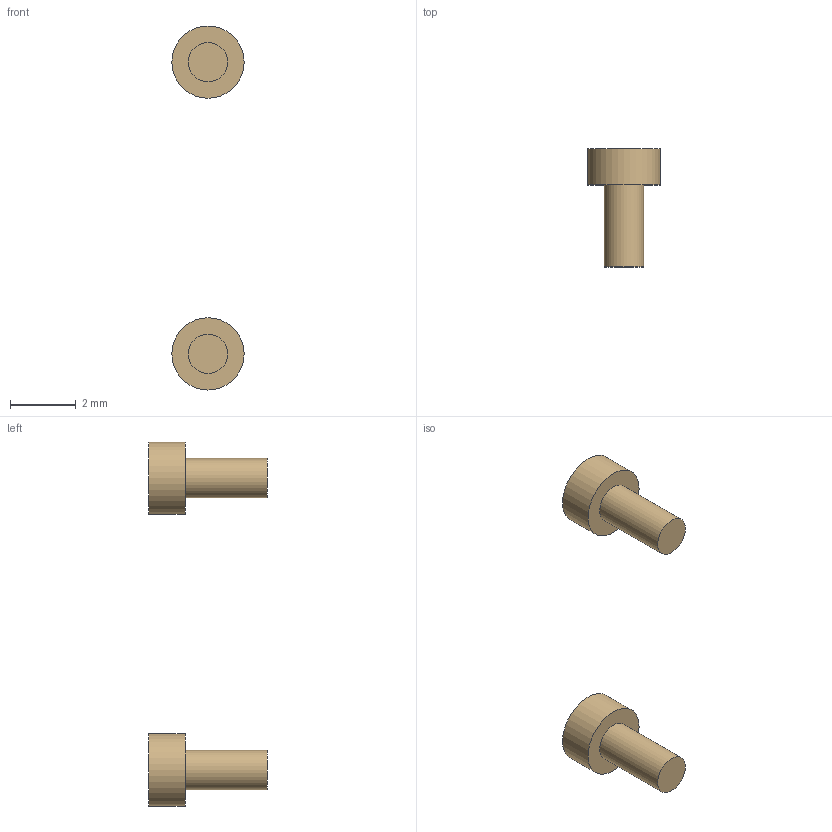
import cadquery as cq

HEAD_DIAMETER = 2.2
HEAD_LENGTH = 1.1
SHANK_DIAMETER = 1.2
OVERALL_LENGTH = 3.6
OVERALL_HEIGHT = 11.09

AXIS_SPACING = OVERALL_HEIGHT - HEAD_DIAMETER


def make_screw(axis_height):
    """Cap screw along Y: shank tip at Y = 0 facing -Y, head at the +Y end."""
    shank_length = OVERALL_LENGTH - HEAD_LENGTH
    head_face = cq.Workplane("XZ", origin=(0, OVERALL_LENGTH, axis_height))
    head = head_face.circle(HEAD_DIAMETER / 2).extrude(HEAD_LENGTH)
    return head.faces("<Y").workplane().circle(SHANK_DIAMETER / 2).extrude(shank_length)


screws = [make_screw(side * AXIS_SPACING / 2) for side in (-1, 1)]

result = cq.Compound.makeCompound([screw.val() for screw in screws])